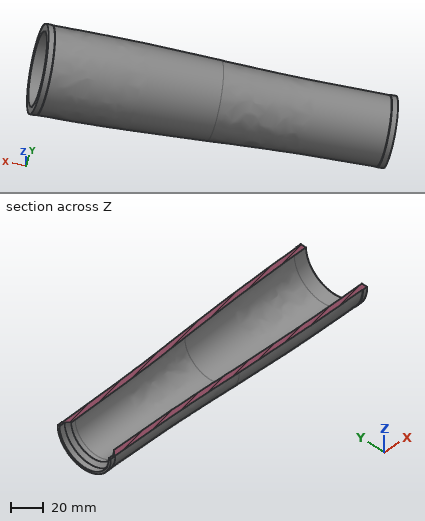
import cadquery as cq

length = 220.0
wide_rim_radius = 28.05
rim_step = 0.2
narrow_body_radius = 22.2
wide_body_radius = wide_rim_radius - rim_step
narrow_rim_radius = narrow_body_radius + rim_step
rim_width = 3.7
rim_bevel_length = 0.5

wall = 4.5
throat_radius = narrow_body_radius - wall
wide_bore_radius = wide_body_radius - wall
socket_radius = 20.7
socket_depth = 4.5
socket_cone_length = socket_radius - throat_radius
throat_end_x = 10.5


def flare(profile, start_x, start_radius, end_x, end_radius):
    """Add two mirrored smooth curves that leave and arrive parallel to the axis."""
    run = end_x - start_x
    rise = end_radius - start_radius
    middle = (start_x + run / 2, start_radius + rise / 2)
    along_axis = (1, 0)
    middle_direction = (run, 2 * rise)
    profile = profile.spline([middle], tangents=[along_axis, middle_direction], includeCurrent=True)
    return profile.spline(
        [(end_x, end_radius)], tangents=[middle_direction, along_axis], includeCurrent=True
    )


def revolve_about_x(profile):
    return profile.close().revolve(360, (0, 0, 0), (1, 0, 0))


def make_outside():
    body_start_x = rim_width + rim_bevel_length
    body_end_x = length - body_start_x
    profile = (
        cq.Workplane("XZ")
        .moveTo(0, 0)
        .lineTo(0, narrow_rim_radius)
        .lineTo(rim_width, narrow_rim_radius)
        .lineTo(body_start_x, narrow_body_radius)
    )
    profile = flare(profile, body_start_x, narrow_body_radius, body_end_x, wide_body_radius)
    profile = (
        profile.lineTo(length - rim_width, wide_rim_radius)
        .lineTo(length, wide_rim_radius)
        .lineTo(length, 0)
    )
    return revolve_about_x(profile)


def make_bore():
    profile = (
        cq.Workplane("XZ")
        .moveTo(0, 0)
        .lineTo(0, socket_radius)
        .lineTo(socket_depth, socket_radius)
        .lineTo(socket_depth + socket_cone_length, throat_radius)
        .lineTo(throat_end_x, throat_radius)
    )
    flare_end_x = length - throat_end_x
    profile = flare(profile, throat_end_x, throat_radius, flare_end_x, wide_bore_radius)
    profile = profile.lineTo(length, wide_bore_radius).lineTo(length, 0)
    return revolve_about_x(profile)


result = make_outside().cut(make_bore())